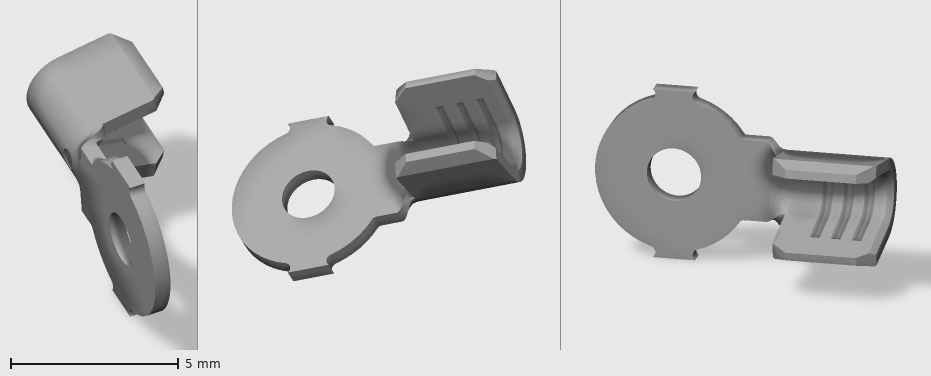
import cadquery as cq
import math


length = 9.14
tongue_height = 5.33
sheet = 0.5
ring_radius = 2.42
ring_x = length - ring_radius
hole_diameter = 1.66
neck_half_width = 1.27
neck_start_x = 3.93
neck_corner_radius = 0.15

tab_waist_width = 1.14
tab_waist_radius = 0.2

barrel_length = 3.17
barrel_outer_radius = neck_half_width
barrel_inner_radius = barrel_outer_radius - sheet
barrel_height = 3.3
arm_lean = math.radians(11)

tip_thickness = 0.265
tip_slope_length = 0.44
tip_corner = 0.5

mouth_bevel_length = 0.18
mouth_bevel_depth = 0.14

groove_count = 3
groove_start_x = 0.55
groove_pitch = 0.64
groove_width = 0.32
groove_floor_width = 0.13
groove_depth = 0.1
groove_arm_length = 1.21

dimple_radius = 0.32
dimple_x = 2.925
dimple_depth = 0.08

neck_steps = 4

overcut = 0.09

inner_arm_start_y = barrel_outer_radius - barrel_inner_radius * math.sin(arm_lean)
arm_length = (barrel_height - inner_arm_start_y) / math.cos(arm_lean)


def arm_point(along, offset):
    """(Y, Z) on the +Z arm: distance along from the arm's root, offset out from its inner face."""
    radius = barrel_inner_radius + offset
    y = barrel_outer_radius - radius * math.sin(arm_lean) + along * math.cos(arm_lean)
    z = radius * math.cos(arm_lean) + along * math.sin(arm_lean)
    return y, z


def mirrored(point):
    """The same (Y, Z) point on the -Z side."""
    return point[0], -point[1]


def make_tongue():
    """Ring with two waisted tabs and the straight strip leading to the neck."""
    tab_end_z = tongue_height / 2
    arc_x = tab_waist_width / 2 + tab_waist_radius
    arc_distance = ring_radius + tab_waist_radius
    arc_z = math.sqrt(arc_distance**2 - arc_x**2)
    tab_half_width = arc_x - math.sqrt(tab_waist_radius**2 - (tab_end_z - arc_z) ** 2)
    tangent_x = arc_x * ring_radius / arc_distance
    tangent_z = arc_z * ring_radius / arc_distance
    waist = (tab_waist_width / 2, arc_z)

    ring = cq.Workplane("XZ").circle(ring_radius).extrude(-sheet)
    tabs = (
        cq.Workplane("XZ")
        .moveTo(-tab_half_width, tab_end_z)
        .lineTo(tab_half_width, tab_end_z)
        .threePointArc(waist, (tangent_x, tangent_z))
        .lineTo(tangent_x, -tangent_z)
        .threePointArc((waist[0], -waist[1]), (tab_half_width, -tab_end_z))
        .lineTo(-tab_half_width, -tab_end_z)
        .threePointArc((-waist[0], -waist[1]), (-tangent_x, -tangent_z))
        .lineTo(-tangent_x, tangent_z)
        .threePointArc((-waist[0], waist[1]), (-tab_half_width, tab_end_z))
        .close()
        .extrude(-sheet)
    )
    strip = cq.Workplane("XY").box(
        ring_x - neck_start_x, sheet, 2 * neck_half_width, centered=(False, False, True)
    )
    strip = strip.translate((neck_start_x, 0, 0))
    tongue = ring.union(tabs).translate((ring_x, 0, 0)).union(strip)

    corner_x = ring_x - math.sqrt(ring_radius**2 - neck_half_width**2)
    for side in (1, -1):
        corner = cq.selectors.NearestToPointSelector((corner_x, sheet / 2, side * neck_half_width))
        tongue = tongue.edges(corner).fillet(neck_corner_radius)

    hole = cq.Workplane("XZ").center(ring_x, 0).circle(hole_diameter / 2).extrude(-sheet)
    return tongue.cut(hole)


def make_barrel_blank():
    """U-shaped barrel whose arms thin down on the outside towards their tips."""
    inner_root = arm_point(0, 0)
    inner_tip = arm_point(arm_length, 0)
    outer_tip = arm_point(arm_length, tip_thickness)
    slope_start = arm_point(arm_length - tip_slope_length, sheet)
    outer_root = arm_point(0, sheet)
    return (
        cq.Workplane("YZ")
        .moveTo(*inner_root)
        .lineTo(*inner_tip)
        .lineTo(*outer_tip)
        .lineTo(*slope_start)
        .lineTo(*outer_root)
        .threePointArc((0, 0), mirrored(outer_root))
        .lineTo(*mirrored(slope_start))
        .lineTo(*mirrored(outer_tip))
        .lineTo(*mirrored(inner_tip))
        .lineTo(*mirrored(inner_root))
        .threePointArc((sheet, 0), inner_root)
        .close()
        .extrude(barrel_length)
    )


def make_tip_cutters():
    """Prisms that take the 45 degree corners off both arm tips, square to each arm."""
    cutters = cq.Workplane("XY")
    tip_y, tip_z = arm_point(arm_length, 0)
    for side in (1, -1):
        outward = (0, -math.sin(arm_lean), side * math.cos(arm_lean))
        tip_plane = cq.Plane(origin=(0, tip_y, side * tip_z), xDir=(1, 0, 0), normal=outward)
        for end_x, inward in ((0, 1), (barrel_length, -1)):
            corner = (
                cq.Workplane(tip_plane)
                .moveTo(end_x - inward * overcut, side * overcut)
                .lineTo(end_x + inward * (tip_corner + overcut), side * overcut)
                .lineTo(end_x - inward * overcut, -side * (tip_corner + overcut))
                .close()
                .extrude(sheet + overcut, both=True)
            )
            cutters = cutters.union(corner)
    return cutters


def sweep_inside_barrel(section, arm_reach):
    """Sweep (X, offset) points along the barrel's inside, arm_reach up each arm."""
    start = arm_point(arm_reach, 0)
    root = arm_point(0, 0)
    path = (
        cq.Workplane("YZ")
        .moveTo(*start)
        .lineTo(*root)
        .threePointArc((sheet, 0), mirrored(root))
        .lineTo(*mirrored(start))
    )
    section_plane = cq.Plane(
        origin=(0, *start),
        xDir=(1, 0, 0),
        normal=(0, math.cos(arm_lean), math.sin(arm_lean)),
    )
    points = [(x, -offset) for x, offset in section]
    return cq.Workplane(section_plane).polyline(points).close().sweep(path)


def make_mouth_bevel():
    """Wedge that bevels the inner edge of the open end."""
    slope = mouth_bevel_depth / mouth_bevel_length
    section = [
        (-overcut, -overcut),
        (mouth_bevel_length + overcut / slope, -overcut),
        (-overcut, mouth_bevel_depth + overcut * slope),
    ]
    return sweep_inside_barrel(section, arm_length + overcut)


def make_groove(start_x):
    """One grip groove with sloping walls."""
    wall = (groove_width - groove_floor_width) / 2
    section = [
        (start_x, -overcut),
        (start_x, 0),
        (start_x + wall, groove_depth),
        (start_x + groove_width - wall, groove_depth),
        (start_x + groove_width, 0),
        (start_x + groove_width, -overcut),
    ]
    return sweep_inside_barrel(section, groove_arm_length)


def make_neck():
    """Loft that flattens the barrel's round floor into the strip."""
    outer_root = arm_point(0, sheet)
    inner_root = arm_point(0, 0)
    neck_length = neck_start_x - barrel_length
    neck = cq.Workplane("YZ").workplane(offset=barrel_length)
    for step in range(neck_steps + 1):
        fraction = step / neck_steps
        flatness = fraction**2 * (3 - 2 * fraction)
        outer = (
            outer_root[0] * (1 - flatness),
            outer_root[1] + (neck_half_width - outer_root[1]) * flatness,
        )
        inner = (
            inner_root[0] + (sheet - inner_root[0]) * flatness,
            inner_root[1] + (neck_half_width - inner_root[1]) * flatness,
        )
        if step > 0:
            neck = neck.workplane(offset=neck_length / neck_steps)
        neck = neck.moveTo(*mirrored(outer))
        if step < neck_steps:
            neck = neck.threePointArc((0, 0), outer).lineTo(*inner)
            neck = neck.threePointArc((sheet, 0), mirrored(inner)).close()
        else:
            neck = neck.lineTo(*outer).lineTo(*inner).lineTo(*mirrored(inner)).close()
    return neck.loft(combine=True)


def make_dimple():
    """Round recess, its depth measured from the lowest line of the barrel."""
    return cq.Workplane("XZ").center(dimple_x, 0).circle(dimple_radius).extrude(-dimple_depth)


barrel = make_barrel_blank().cut(make_tip_cutters()).cut(make_mouth_bevel())
for index in range(groove_count):
    barrel = barrel.cut(make_groove(groove_start_x + index * groove_pitch))

result = barrel.union(make_neck()).union(make_tongue()).cut(make_dimple())